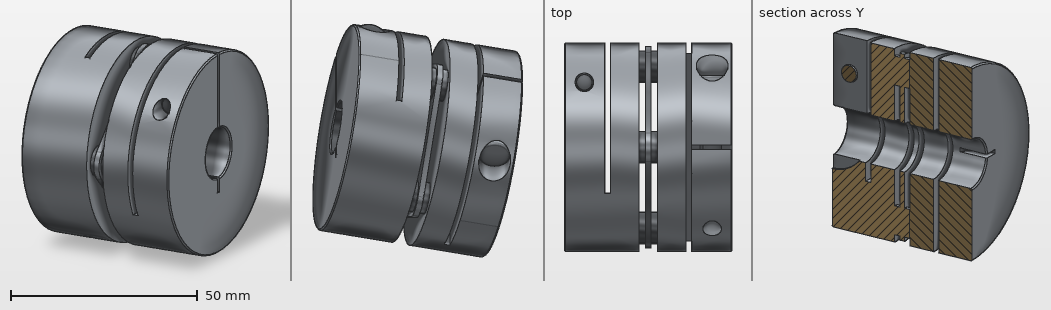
import cadquery as cq


length = 45.0
hub_radius = 28.0
bore_radius = 7.0
element_gap = 4.9
rim_chamfer = 0.4
bore_chamfer = 0.4

ring_width = 10.85
slot_width = 1.5
slot_floor = -12.3

slit_width = 1.1
saw_radius = 11.1

screw_radius = 2.45
screw_inset = 5.4
screw_height = 17.4
head_radius = 4.25
head_length = 5.0
head_top = 19.25
head_fillet = 0.45
tip_end = -17.8
tip_chamfer = 0.4

plate_thickness = 1.55
plate_lobe_radius = 5.45
spacer_radius = 4.25
spacer_pitch_radius = 21.6
spacer_count = 4

outer_face = length / 2
inner_face = element_gap / 2
ring_inner_face = outer_face - ring_width
screw_x = outer_face - screw_inset
seat = head_top - head_length


def x_cylinder(radius, start, end):
    """Cylinder on the coupling axis between two X positions."""
    return cq.Workplane("YZ", origin=(start, 0, 0)).circle(radius).extrude(end - start)


def y_cylinder(radius, start, end):
    """Cylinder on the clamp screw axis between two Y positions."""
    plane = cq.Plane(origin=(screw_x, start, screw_height), xDir=(1, 0, 0), normal=(0, 1, 0))
    return cq.Workplane(plane).circle(radius).extrude(end - start)


def cross_slot():
    """Slot between ring and flange, open everywhere above its flat floor."""
    return (
        cq.Workplane("XY", origin=(ring_inner_face - slot_width, 0, slot_floor))
        .box(slot_width, 2 * hub_radius, hub_radius - slot_floor, centered=(False, True, False))
    )


def clamping_slit():
    """Slit from the axis up through the rim, with a saw-cut arc on the far side of the bore."""
    upper_slit = cq.Workplane("XY", origin=(ring_inner_face, 0, 0)).box(
        ring_width, slit_width, hub_radius, centered=(False, True, False)
    )
    saw_plane = cq.Workplane("XZ", origin=(outer_face, 0, 0))
    saw_cut = saw_plane.circle(saw_radius).extrude(slit_width / 2, both=True)
    ring_space = x_cylinder(hub_radius, ring_inner_face, outer_face)
    return upper_slit.union(saw_cut.intersect(ring_space))


def clamp_hub():
    """Hub on the +X side, slit towards +Z, screw head towards +Y."""
    hub = x_cylinder(hub_radius, inner_face, outer_face).faces(">X").chamfer(rim_chamfer)
    hub = hub.cut(x_cylinder(bore_radius, inner_face, outer_face))
    bore_edge = hub.faces(">X").edges(cq.selectors.RadiusNthSelector(0))
    hub = bore_edge.chamfer(bore_chamfer)
    hub = hub.cut(cross_slot()).cut(clamping_slit())
    hub = hub.cut(y_cylinder(screw_radius, -hub_radius, hub_radius))
    return hub.cut(y_cylinder(head_radius, seat, hub_radius))


def clamp_screw():
    """Cap screw of the +X hub; its tip stays inside the threaded hole."""
    head = y_cylinder(head_radius, seat, head_top).faces(">Y").edges().fillet(head_fillet)
    shank = y_cylinder(screw_radius, tip_end, seat).faces("<Y").chamfer(tip_chamfer)
    return head.union(shank)


def disc_element():
    """Plate with a rounded lobe at each spacer, and spacers through it filling the gap."""
    half_side = spacer_pitch_radius / 2 ** 0.5 + plate_lobe_radius
    plate = (
        cq.Workplane("YZ")
        .rect(2 * half_side, 2 * half_side)
        .extrude(plate_thickness / 2, both=True)
        .edges("|X")
        .fillet(plate_lobe_radius)
        .rotate((0, 0, 0), (1, 0, 0), 45)
    )
    spacers = (
        cq.Workplane("YZ")
        .polarArray(spacer_pitch_radius, 0, 360, spacer_count)
        .circle(spacer_radius)
        .extrude(inner_face, both=True)
    )
    return plate.union(spacers).cut(x_cylinder(bore_radius, -inner_face, inner_face))


def to_left_side(body):
    """Mirror a +X body to the -X side, with +Z turned to +Y and +Y turned to -Z."""
    return body.mirror("YZ").rotate((0, 0, 0), (1, 0, 0), -90)


right_hub = clamp_hub().union(disc_element())
left_hub = to_left_side(clamp_hub())
right_screw = clamp_screw()
left_screw = to_left_side(clamp_screw())

result = cq.Compound.makeCompound(
    [right_hub.val(), left_hub.val(), right_screw.val(), left_screw.val()]
)